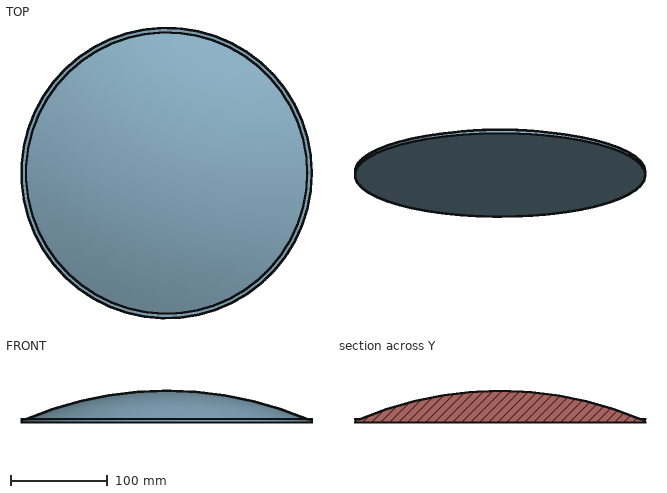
import cadquery as cq

rim_diameter = 300.0
rim_thickness = 3.5
rim_ledge = 4.8
total_height = 33.0

rim_radius = rim_diameter / 2
dome_radius = rim_radius - rim_ledge
dome_height = total_height - rim_thickness
sphere_radius = (dome_radius**2 + dome_height**2) / (2 * dome_height)

mid_x = dome_radius / 2
sphere_center_z = total_height - sphere_radius
mid_z = sphere_center_z + (sphere_radius**2 - mid_x**2) ** 0.5

result = (
    cq.Workplane("XZ")
    .lineTo(rim_radius, 0)
    .lineTo(rim_radius, rim_thickness)
    .lineTo(dome_radius, rim_thickness)
    .threePointArc((mid_x, mid_z), (0, total_height))
    .close()
    .revolve(360, (0, 0, 0), (0, 1, 0))
)